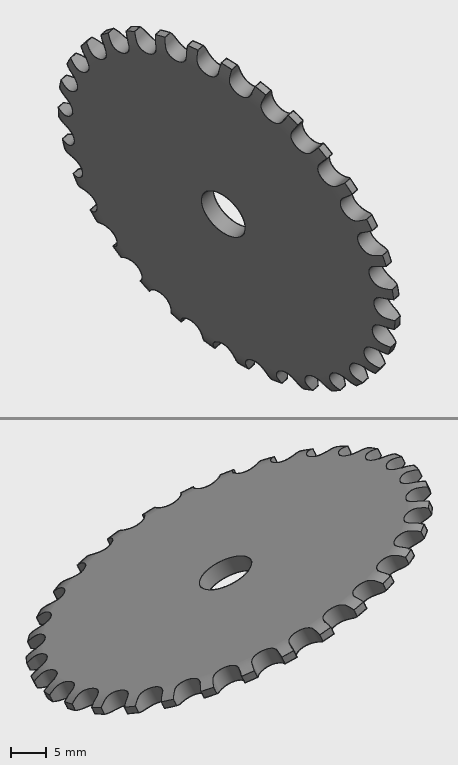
import cadquery as cq
import math

tooth_count = 31
chain_pitch = 6.0
roller_diameter = 4.0
seat_ratio = 0.505
tip_diameter = 61.7
bore_diameter = 8.0

plate_thickness = 2.6
flat_face_radius = 28.0
relief_radius = 6.0

tooth_angle = 360.0 / tooth_count
half_tooth_angle = tooth_angle / 2
pitch_radius = chain_pitch / 2 / math.sin(math.radians(half_tooth_angle))
tip_radius = tip_diameter / 2
bore_radius = bore_diameter / 2
half_thickness = plate_thickness / 2
seat_radius = seat_ratio * roller_diameter
gap_cut_radius = tip_radius + seat_radius


def relief_depth(radius):
    """Depth of the curved side relief, tangent to the flat face, at a given radius."""
    outward = radius - flat_face_radius
    return relief_radius - math.sqrt(relief_radius**2 - outward**2)


def make_blank():
    """Bored disc about the Y axis whose rim is thinned on both sides by an arc."""
    middle_radius = (flat_face_radius + tip_radius) / 2
    middle_half_width = half_thickness - relief_depth(middle_radius)
    tip_half_width = half_thickness - relief_depth(tip_radius)
    return (
        cq.Workplane("XY")
        .moveTo(bore_radius, -half_thickness)
        .lineTo(flat_face_radius, -half_thickness)
        .threePointArc((middle_radius, -middle_half_width), (tip_radius, -tip_half_width))
        .lineTo(tip_radius, tip_half_width)
        .threePointArc((middle_radius, middle_half_width), (flat_face_radius, half_thickness))
        .lineTo(bore_radius, half_thickness)
        .close()
        .revolve(360, (0, 0, 0), (0, 1, 0))
    )


def make_gap():
    """Gap at the top: a roller seat whose straight sides follow the two tooth centre lines."""
    flank_angle = math.radians(half_tooth_angle)
    seat_x = seat_radius * math.cos(flank_angle)
    seat_z = pitch_radius - seat_radius * math.sin(flank_angle)
    mouth_x = seat_x + (gap_cut_radius - seat_z) * math.tan(flank_angle)
    return (
        cq.Workplane("XZ", origin=(0, half_thickness, 0))
        .moveTo(-mouth_x, gap_cut_radius)
        .lineTo(-seat_x, seat_z)
        .threePointArc((0, pitch_radius - seat_radius), (seat_x, seat_z))
        .lineTo(mouth_x, gap_cut_radius)
        .close()
        .extrude(plate_thickness)
    )


def cut_gaps(body):
    """Cut one gap midway between each pair of teeth, leaving a tooth at +Z."""
    gap = make_gap()
    for index in range(tooth_count):
        angle = (index + 0.5) * tooth_angle
        body = body.cut(gap.rotate((0, 0, 0), (0, 1, 0), angle))
    return body


result = cut_gaps(make_blank())